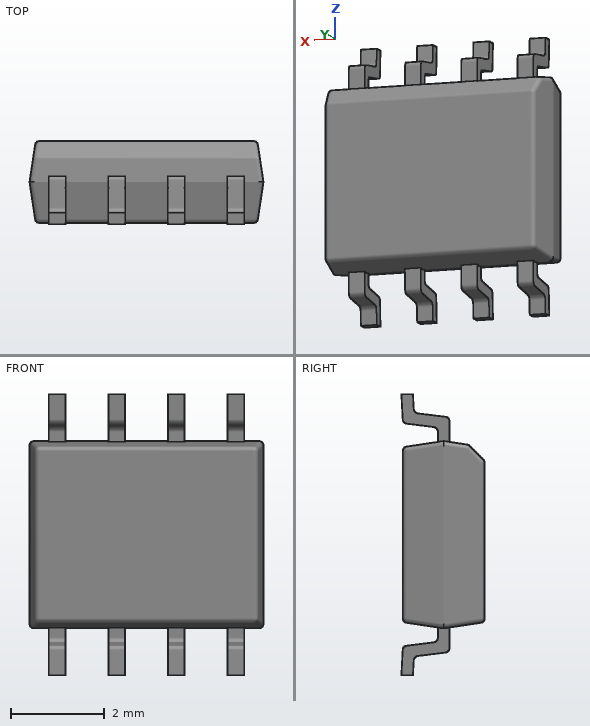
import cadquery as cq
import math

BODY_WIDTH = 5.0
BODY_HEIGHT = 4.0
BODY_DEPTH = 1.75
BODY_DRAFT = 8.5
BODY_FILLET = 0.1
BEVEL_SIZE = 0.35
HALF_DEPTH = BODY_DEPTH / 2

LEADS_PER_SIDE = 4
LEAD_PITCH = 1.27
LEAD_WIDTH = 0.36
LEAD_THICKNESS = 0.25
LEAD_SPAN = 6.0
LEAD_FRONT_Y = -0.905
ARM_TOP_Z = 2.51
ARM_TILT = 7
FOOT_TILT = 3
BEND_RADIUS = 0.1
ROOT_OVERLAP = 0.18
ROOT_START_Z = BODY_HEIGHT / 2 - ROOT_OVERLAP
SELECT_MARGIN = 0.005


def make_body():
    """Two drafted halves back to back, beveled and rounded everywhere but at the parting line."""
    parting = cq.Workplane("XZ").rect(BODY_WIDTH, BODY_HEIGHT)
    front_half = parting.extrude(HALF_DEPTH, taper=BODY_DRAFT)
    back_half = front_half.mirror("XZ")
    body = front_half.union(back_half)

    slope = math.tan(math.radians(BODY_DRAFT))
    bevel_start_y = HALF_DEPTH - BEVEL_SIZE
    bevel_start_z = BODY_HEIGHT / 2 - bevel_start_y * slope
    wedge = (
        cq.Workplane("YZ")
        .moveTo(bevel_start_y - BEVEL_SIZE, bevel_start_z + BEVEL_SIZE)
        .lineTo(HALF_DEPTH + BEVEL_SIZE, bevel_start_z - 2 * BEVEL_SIZE)
        .lineTo(HALF_DEPTH + BEVEL_SIZE, bevel_start_z + BEVEL_SIZE)
        .close()
        .extrude(BODY_WIDTH / 2, both=True)
    )
    body = body.cut(wedge)

    rounded_edges = body.edges().filter(lambda edge: abs(edge.Center().y) > SELECT_MARGIN)
    return rounded_edges.fillet(BODY_FILLET)


def lead_points():
    """Corners of the lead section in (Y, Z), for a lead on the top side."""
    arm_slope = math.tan(math.radians(ARM_TILT))
    foot_slope = math.tan(math.radians(FOOT_TILT))
    arm_drop = LEAD_THICKNESS / math.cos(math.radians(ARM_TILT))
    foot_width = LEAD_THICKNESS / math.cos(math.radians(FOOT_TILT))
    root_back = LEAD_THICKNESS / 2
    root_front = -LEAD_THICKNESS / 2
    tip_z = LEAD_SPAN / 2
    foot_back = LEAD_FRONT_Y + foot_width

    def foot_corner(foot_y, arm_z):
        """Crossing of a foot line, placed by Y at the tip, and an arm line, placed by Z at the root back."""
        y = (foot_y + foot_slope * (tip_z - arm_z - arm_slope * root_back)) / (1 - foot_slope * arm_slope)
        return y, arm_z + arm_slope * (root_back - y)

    return [
        (root_back, ROOT_START_Z),
        (root_back, ARM_TOP_Z),
        foot_corner(foot_back, ARM_TOP_Z),
        (foot_back, tip_z),
        (LEAD_FRONT_Y, tip_z),
        foot_corner(LEAD_FRONT_Y, ARM_TOP_Z - arm_drop),
        (root_front, ARM_TOP_Z - arm_drop + arm_slope * LEAD_THICKNESS),
        (root_front, ROOT_START_Z),
    ]


def make_lead(body):
    """One lead of the top side, centered on X = 0 and trimmed to end on the body surface."""
    bends = cq.selectors.BoxSelector(
        (-LEAD_WIDTH, -LEAD_SPAN, ROOT_START_Z + SELECT_MARGIN),
        (LEAD_WIDTH, LEAD_SPAN, LEAD_SPAN / 2 - SELECT_MARGIN),
    )
    lead = (
        cq.Workplane("YZ")
        .polyline(lead_points())
        .close()
        .extrude(LEAD_WIDTH / 2, both=True)
        .edges("|X")
        .edges(bends)
        .fillet(BEND_RADIUS)
    )
    return lead.cut(body)


body = make_body()
top_lead = make_lead(body)
bottom_lead = top_lead.mirror("XY")

leads = []
for index in range(LEADS_PER_SIDE):
    lead_x = (index - (LEADS_PER_SIDE - 1) / 2) * LEAD_PITCH
    for lead in (top_lead, bottom_lead):
        leads.append(lead.translate((lead_x, 0, 0)).val())

result = cq.Compound.makeCompound([body.val(), *leads])